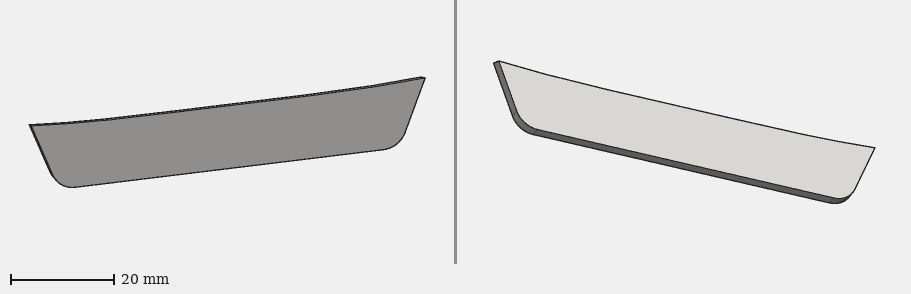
import cadquery as cq

length = 80.25
height = 13.7
depth = 2.7

lean = 0.65
top_bevel_drop = 0.6

end_inset = 5.45
corner_radius = 4.8
top_sag = 0.8
flat_half = 18.45

thickness = depth - lean
half_length = length / 2
half_bottom = half_length - end_inset


def leaning_slab():
    """Full-length slab with a leaning section, flat on the bottom."""
    return (
        cq.Workplane("XZ")
        .polyline([(lean, 0), (depth, 0), (thickness, height), (0, height)])
        .close()
        .extrude(half_length, both=True)
    )


def tapered_outline():
    """Trapezoid block with rounded bottom corners."""
    return (
        cq.Workplane("YZ")
        .polyline([
            (-half_bottom, 0),
            (half_bottom, 0),
            (half_length, height),
            (-half_length, height),
        ])
        .close()
        .extrude(depth)
        .faces("<Z")
        .edges("|X")
        .fillet(corner_radius)
    )


def top_cutter():
    """Block above the bevelled, sagging top face, swept along the bevel."""
    flat_height = height - top_sag
    mid_y = (half_length + flat_half) / 2
    mid_height = flat_height + top_sag / 4
    top_edge = [
        (-half_length, height),
        (-mid_y, mid_height),
        (-flat_half, flat_height),
        (0, flat_height),
        (flat_half, flat_height),
        (mid_y, mid_height),
        (half_length, height),
    ]
    start = (2 * thickness, 0, top_bevel_drop)
    sweep = cq.Vector(-3 * thickness, 0, -3 * top_bevel_drop)
    profile = (
        cq.Workplane("YZ", origin=start)
        .spline(top_edge)
        .lineTo(half_length, 2 * height)
        .lineTo(-half_length, 2 * height)
        .close()
    )
    return cq.Workplane(cq.Solid.extrudeLinear(profile.val(), [], sweep))


result = leaning_slab().intersect(tapered_outline()).cut(top_cutter())